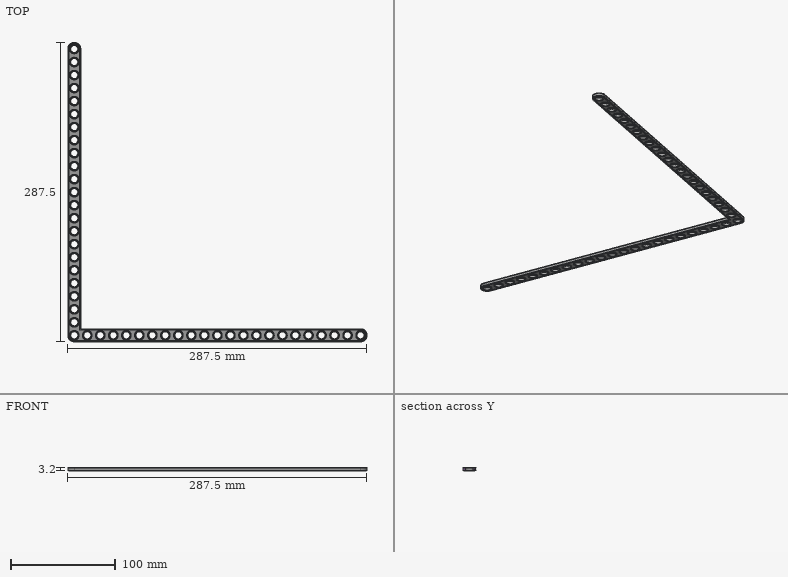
import cadquery as cq

arm_length = 287.5
holes_per_arm = 23
thickness = 3.2
hole_diameter = 7.0
counterbore_diameter = 9.2
rim_width = 1.2
step_depth = 0.2

pitch = arm_length / holes_per_arm
arm_width = pitch
raised_width = arm_width - 2 * rim_width
last_hole = (holes_per_arm - 1) * pitch

row = [i * pitch for i in range(holes_per_arm)]
hole_centers = [(x, 0) for x in row] + [(0, y) for y in row[1:]]


def round_ended_angle(width, base, height):
    """L of two round-ended strips whose end arcs are centred on the outermost holes."""
    strip = (
        cq.Workplane("XY", origin=(last_hole / 2, 0, base))
        .slot2D(last_hole + width, width)
        .extrude(height)
    )
    return strip.union(strip.rotate((0, 0, 0), (0, 0, 1), 90))


def cylinders_at_holes(diameter, base, height):
    """One cylinder of the given diameter at every hole position."""
    return (
        cq.Workplane("XY", origin=(0, 0, base))
        .pushPoints(hole_centers)
        .circle(diameter / 2)
        .extrude(height)
    )


core = round_ended_angle(arm_width, step_depth, thickness - 2 * step_depth)
raised_strip = round_ended_angle(raised_width, 0, thickness)
bar = core.union(raised_strip)

bar = bar.cut(cylinders_at_holes(hole_diameter, 0, thickness))
for counterbore_base in (0, thickness - step_depth):
    bar = bar.cut(cylinders_at_holes(counterbore_diameter, counterbore_base, step_depth))

result = bar